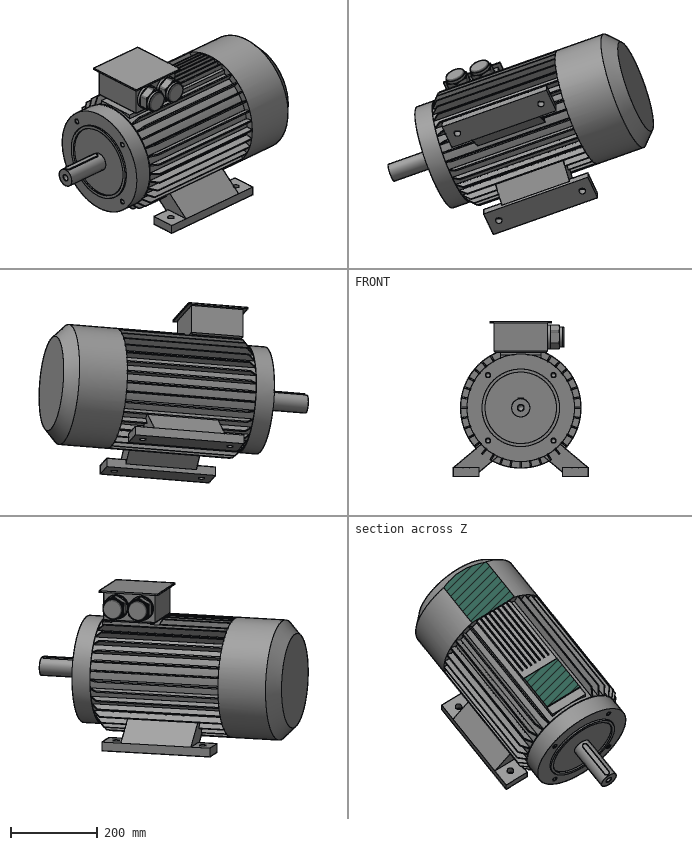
import cadquery as cq
import math


total_length = 613.0
shaft_length = 110.0
flange_thickness = 43.5
fin_front = 45.5
cowl_front = 358.0
cowl_rear = total_length - shaft_length

barrel_diameter = 245.0
flange_diameter = 250.0
cowl_diameter = 280.0
cowl_chamfer = 30.0

spigot_outer_diameter = 180.0
spigot_inner_diameter = 166.0
spigot_height = 4.0
flange_hole_diameter = 10.0
flange_hole_mouth_diameter = 12.0
flange_hole_depth = 24.5
flange_hole_circle = 215.0

shaft_diameter = 42.0
shaft_hole_diameter = 14.0
shaft_hole_mouth_diameter = 16.0
shaft_hole_depth = 24.5
drill_point_angle = 118.0
key_width = 12.0
key_length = 100.0
key_start = 7.5
key_top = 23.0

fin_thickness = 3.0
fin_pitch_angle = 10
first_fin_angle = 120
last_fin_angle = 420
fin_front_chamfer = 16.0

pad_width = 94.5
pad_top = 123.0
pad_bottom = 104.0
pad_front = 51.5
pad_fin_pitch = 12.0
pad_fins_per_side = 3
pad_fin_front = 187.0
pad_fin_slope_run = 10.0

box_center_y = 121.0
box_width = 124.5
box_bottom = 128.0
box_chamfer = 3.5
lid_width = 142.0
lid_thickness = 3.5
lid_top = 201.0

gland_spacing = 60.5
gland_height = 164.0
gland_collar_diameter = 56.5
gland_collar_end = 69.0
gland_nut_across_flats = 49.5
gland_nut_end = 90.0
gland_nut_corner_radius = 3.5
gland_nut_chamfer_length = 2.0
gland_nut_chamfer_depth = 3.0
gland_tail_diameter = 47.0
gland_tail_end = 97.0
gland_tip_diameter = 46.0
gland_tip_end = 100.5
gland_tip_fillet = 2.0

overall_width = 314.0
ground = -160.0
foot_width = 60.0
foot_length = 262.0
foot_height = 21.0
feet_center_y = 213.0
foot_hole_diameter = 15.0
foot_hole_spacing_x = 254.0
foot_hole_spacing_y = 209.5
leg_length = 170.0
leg_angle = 40.0
leg_inner_z = -149.5
leg_end_x = 49.0

overlap = 3.0

barrel_radius = barrel_diameter / 2
cowl_radius = cowl_diameter / 2


def cylinder_y(diameter, start, end):
    """Cylinder on the shaft axis between two Y positions."""
    return cq.Workplane("XZ", origin=(0, start, 0)).circle(diameter / 2).extrude(start - end)


def cylinder_x(diameter, start, end, y, z):
    """Cylinder parallel to X between two X positions."""
    return cq.Workplane("YZ", origin=(start, y, z)).circle(diameter / 2).extrude(end - start)


def block(x_range, y_range, z_range):
    """Box between the given limits."""
    size = [high - low for low, high in (x_range, y_range, z_range)]
    corner = (x_range[0], y_range[0], z_range[0])
    return cq.Workplane("XY").box(*size, centered=False).translate(corner)


def square_column(width, bottom, top):
    """Square column of the terminal box, centred over the box position."""
    return (
        cq.Workplane("XY", origin=(0, box_center_y, bottom))
        .rect(width, width)
        .extrude(top - bottom)
    )


def drilled_hole(diameter, mouth_diameter, depth, x, y, z):
    """Blind hole drilled toward +Y with a 45 degree bevelled mouth and a conical bottom."""
    radius = diameter / 2
    mouth_radius = mouth_diameter / 2
    bevel = mouth_radius - radius
    point_depth = radius / math.tan(math.radians(drill_point_angle / 2))
    outline = [
        (0, 0),
        (mouth_radius, 0),
        (radius, bevel),
        (radius, depth),
        (0, depth + point_depth),
    ]
    return (
        cq.Workplane("XY")
        .polyline(outline)
        .close()
        .revolve(360, (0, 0, 0), (0, 1, 0))
        .translate((x, y, z))
    )


def make_body():
    barrel = cylinder_y(barrel_diameter, flange_thickness, cowl_front)
    cowl = cylinder_y(cowl_diameter, cowl_front, cowl_rear).faces(">Y").chamfer(cowl_chamfer)
    flange = cylinder_y(flange_diameter, 0, flange_thickness)
    spigot = cylinder_y(spigot_outer_diameter, -spigot_height, 0)
    recess = cylinder_y(spigot_inner_diameter, -spigot_height, 0)
    return barrel.union(cowl).union(flange).union(spigot.cut(recess))


def make_fin(angle):
    """Radial fin with a bevelled front corner, turned about the shaft axis."""
    inside = barrel_radius - overlap
    outline = [
        (inside, fin_front),
        (cowl_radius - fin_front_chamfer, fin_front),
        (cowl_radius, fin_front + fin_front_chamfer),
        (cowl_radius, cowl_front),
        (inside, cowl_front),
    ]
    fin = cq.Workplane("XY").polyline(outline).close().extrude(fin_thickness / 2, both=True)
    return fin.rotate((0, 0, 0), (0, 1, 0), -angle)


def make_pad():
    half = pad_width / 2
    return block((-half, half), (pad_front, cowl_front), (pad_bottom, pad_top))


def make_pad_fins():
    """Upright fins behind the terminal box, trimmed to the cowl radius."""
    root = pad_top - overlap
    outline = [
        (pad_fin_front, root),
        (pad_fin_front, pad_top),
        (pad_fin_front + pad_fin_slope_run, cowl_radius),
        (cowl_front, cowl_radius),
        (cowl_front, root),
    ]
    fins = cq.Workplane("YZ")
    for number in range(-pad_fins_per_side, pad_fins_per_side + 1):
        fin = cq.Workplane("YZ").polyline(outline).close().extrude(fin_thickness / 2, both=True)
        fins = fins.add(fin.translate((number * pad_fin_pitch, 0, 0)))
    return fins.combine().intersect(cylinder_y(cowl_diameter, fin_front, cowl_front))


def make_terminal_box():
    neck = square_column(pad_width, pad_top - overlap, box_bottom)
    box = square_column(box_width, box_bottom, lid_top - lid_thickness)
    box = box.faces("<Z").chamfer(box_chamfer)
    lid = square_column(lid_width, lid_top - lid_thickness, lid_top)
    return neck.union(box).union(lid)


def make_gland(y):
    collar = cylinder_x(gland_collar_diameter, box_width / 2 - overlap, gland_collar_end, y, gland_height)
    corner_diameter = gland_nut_across_flats / math.cos(math.radians(30))
    nut = (
        cq.Workplane("YZ", origin=(gland_collar_end, y, gland_height))
        .transformed(rotate=(0, 0, 90))
        .polygon(6, corner_diameter)
        .extrude(gland_nut_end - gland_collar_end)
        .edges("|X")
        .fillet(gland_nut_corner_radius)
    )
    turned_blank = cylinder_x(corner_diameter, gland_collar_end, gland_nut_end, y, gland_height)
    turned_blank = turned_blank.faces(">X").chamfer(gland_nut_chamfer_length, gland_nut_chamfer_depth)
    nut = nut.intersect(turned_blank)
    tail = cylinder_x(gland_tail_diameter, gland_nut_end, gland_tail_end, y, gland_height)
    tip = cylinder_x(gland_tip_diameter, gland_tail_end, gland_tip_end, y, gland_height)
    tip = tip.faces(">X").edges().fillet(gland_tip_fillet)
    return collar.union(nut).union(tail).union(tip)


def make_support():
    """Foot plate with its sloping leg on the -X side."""
    outer_x = -overall_width / 2
    inner_x = outer_x + foot_width
    foot_top = ground + foot_height
    y_range = (feet_center_y - foot_length / 2, feet_center_y + foot_length / 2)
    foot = block((outer_x, inner_x), y_range, (ground, foot_top))
    slope = math.tan(math.radians(leg_angle))
    outline = [
        (outer_x, foot_top),
        (-leg_end_x, foot_top + (-leg_end_x - outer_x) * slope),
        (-leg_end_x, leg_inner_z + (-leg_end_x - inner_x) * slope),
        (inner_x, leg_inner_z),
        (outer_x, leg_inner_z),
    ]
    leg = (
        cq.Workplane("XZ", origin=(0, feet_center_y, 0))
        .polyline(outline)
        .close()
        .extrude(leg_length / 2, both=True)
    )
    holes = (
        cq.Workplane("XY", origin=(-foot_hole_spacing_x / 2, feet_center_y, ground))
        .rarray(6, foot_hole_spacing_y, 1, 2)
        .circle(foot_hole_diameter / 2)
        .extrude(foot_height)
    )
    return foot.union(leg).cut(holes)


def make_shaft():
    shaft = cylinder_y(shaft_diameter, -shaft_length, 0)
    key = (
        cq.Workplane("XY", origin=(0, -key_start - key_length / 2, 0))
        .slot2D(key_length, key_width, 90)
        .extrude(key_top)
    )
    hole = drilled_hole(
        shaft_hole_diameter, shaft_hole_mouth_diameter, shaft_hole_depth, 0, -shaft_length, 0
    )
    return shaft.union(key).cut(hole)


motor = make_body().union(make_pad()).union(make_pad_fins()).union(make_terminal_box())

for fin_angle in range(first_fin_angle, last_fin_angle + 1, fin_pitch_angle):
    motor = motor.union(make_fin(fin_angle))

for side in (-1, 1):
    motor = motor.union(make_gland(box_center_y + side * gland_spacing / 2))

support = make_support()
motor = motor.union(support).union(support.mirror("YZ"))

flange_hole_offset = flange_hole_circle / 2 * math.cos(math.radians(45))
for x_side in (-1, 1):
    for z_side in (-1, 1):
        motor = motor.cut(
            drilled_hole(
                flange_hole_diameter,
                flange_hole_mouth_diameter,
                flange_hole_depth,
                x_side * flange_hole_offset,
                0,
                z_side * flange_hole_offset,
            )
        )

result = motor.union(make_shaft())